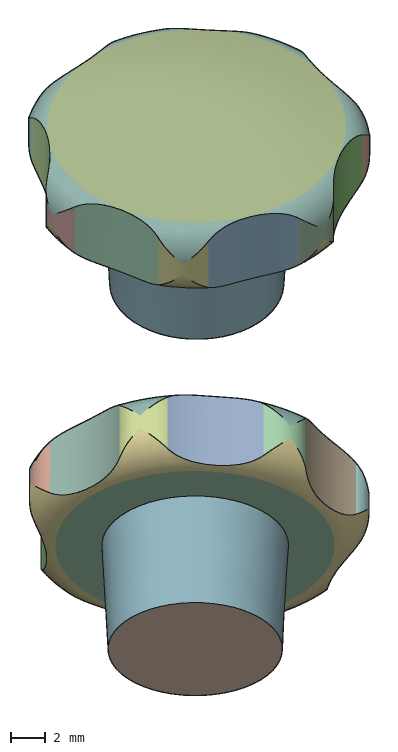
import cadquery as cq
import math

lobe_count = 7
knob_radius = 10.0
edge_radius = 2.0
lobe_radius = 2.0
scallop_radius = 8.0
dome_radius = 30.0
total_height = 13.0
stem_height = 7.0
stem_bottom_radius = 5.0
stem_top_radius = 5.35

lobe_pitch = 2 * math.pi / lobe_count
lobe_center_radius = knob_radius - lobe_radius


def polar(radius, angle):
    return (radius * math.cos(angle), radius * math.sin(angle))


def make_stem():
    profile = [(0, 0), (stem_bottom_radius, 0), (stem_top_radius, stem_height), (0, stem_height)]
    return cq.Workplane("XZ").polyline(profile).close().revolve(360, (0, 0), (0, 1))


def make_domed_head():
    """Disc with a rounded rim that runs tangentially into the domed top."""
    rim_center_x = knob_radius - edge_radius
    dome_center_z = total_height - dome_radius
    rim_slope = math.asin(rim_center_x / (dome_radius - edge_radius))
    rim_center_z = dome_center_z + (dome_radius - edge_radius) * math.cos(rim_slope)
    rim_mid_angle = (math.pi / 2 - rim_slope) / 2

    def on_rim(angle):
        x, z = polar(edge_radius, angle)
        return (rim_center_x + x, rim_center_z + z)

    def on_dome(slope):
        return (dome_radius * math.sin(slope), dome_center_z + dome_radius * math.cos(slope))

    return (
        cq.Workplane("XZ")
        .moveTo(0, stem_height)
        .lineTo(rim_center_x, stem_height)
        .tangentArcPoint((knob_radius, stem_height + edge_radius), relative=False)
        .lineTo(knob_radius, rim_center_z)
        .threePointArc(on_rim(rim_mid_angle), on_dome(rim_slope))
        .threePointArc(on_dome(rim_slope / 2), (0, total_height))
        .close()
        .revolve(360, (0, 0), (0, 1))
    )


def make_lobed_prism():
    """Prism whose convex lobe tips and concave grips meet tangentially; one lobe points to +Y."""
    half_pitch = lobe_pitch / 2
    center_spacing = lobe_radius + scallop_radius
    lobe_offset = lobe_center_radius * math.sin(half_pitch)
    lobe_along_grip = lobe_center_radius * math.cos(half_pitch)
    axis_gap = math.sqrt(center_spacing**2 - lobe_offset**2)
    grip_floor_radius = lobe_along_grip + axis_gap - scallop_radius

    tip_share = lobe_radius / center_spacing
    joint_along = lobe_along_grip + axis_gap * tip_share
    joint_across = lobe_offset * (1 - tip_share)
    joint_radius = math.hypot(joint_along, joint_across)
    joint_angle = math.atan2(joint_across, joint_along)

    first_grip = math.pi / 2 - half_pitch
    outline = cq.Workplane("XY").workplane(offset=stem_height)
    outline = outline.moveTo(*polar(joint_radius, first_grip + joint_angle))
    for index in range(lobe_count):
        lobe_angle = math.pi / 2 + index * lobe_pitch
        grip_angle = lobe_angle + half_pitch
        outline = outline.threePointArc(
            polar(knob_radius, lobe_angle), polar(joint_radius, grip_angle - joint_angle)
        ).threePointArc(
            polar(grip_floor_radius, grip_angle), polar(joint_radius, grip_angle + joint_angle)
        )
    return outline.close().extrude(total_height - stem_height)


head = make_domed_head().intersect(make_lobed_prism())
result = make_stem().union(head)